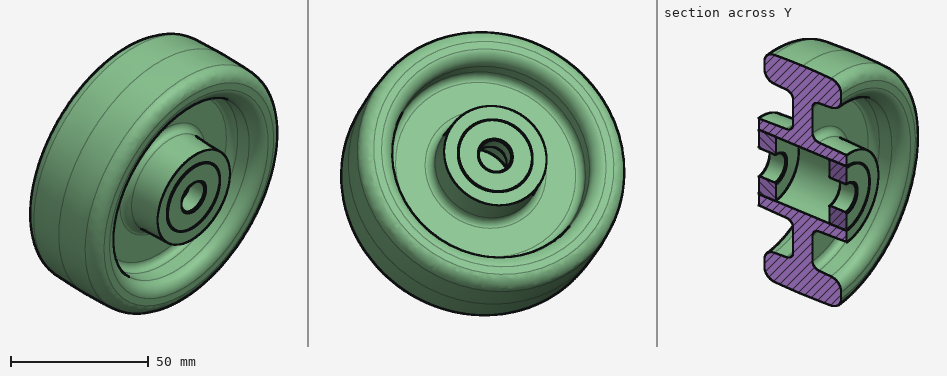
import cadquery as cq
import math

wheel_radius = 50.1
rim_half_width = 17.5
crown_drop = 0.7
rim_fillet = 5.0
rim_inner_radius = 37.1
rim_draft = 3.0

web_half_width = 4.5
web_fillet = 3.0

hub_half_width = 19.98
hub_radius = 19.08
hub_draft = 2.0

bushing_radius = 13.9
bushing_length = 8.0
bushing_bore_radius = 6.0
bushing_outer_chamfer = 0.3
bushing_bore_chamfer = 0.5

rim_root_radius = rim_inner_radius - (rim_half_width - web_half_width) * math.tan(math.radians(rim_draft))
hub_root_radius = hub_radius + (hub_half_width - web_half_width) * math.tan(math.radians(hub_draft))
tread_edge_radius = wheel_radius - crown_drop
crown_arc_radius = (rim_half_width**2 + crown_drop**2) / (2 * crown_drop)


def crown_height(x):
    """Tread radius at axial position x on the crown arc."""
    return wheel_radius - crown_arc_radius + math.sqrt(crown_arc_radius**2 - x**2)


def revolve_about_x(profile):
    return profile.close().revolve(360, (0, 0, 0), (1, 0, 0))


def circles_at(x, radius):
    """Selector box that holds the circular edge of this radius centred at x on the axis."""
    tolerance = 0.1
    reach = radius + tolerance
    return cq.selectors.BoxSelector(
        (x - tolerance, -reach, -reach), (x + tolerance, reach, reach), boundingbox=True
    ) - cq.selectors.BoxSelector(
        (x - tolerance, -radius + tolerance, -radius + tolerance),
        (x + tolerance, radius - tolerance, radius - tolerance),
        boundingbox=True,
    )


def make_wheel():
    mid_x = rim_half_width / 2
    mid_radius = crown_height(mid_x)
    profile = (
        cq.Workplane("XZ")
        .moveTo(0, wheel_radius)
        .threePointArc((mid_x, mid_radius), (rim_half_width, tread_edge_radius))
        .lineTo(rim_half_width, rim_inner_radius)
        .lineTo(web_half_width, rim_root_radius)
        .lineTo(web_half_width, hub_root_radius)
        .lineTo(hub_half_width, hub_radius)
        .lineTo(hub_half_width, bushing_radius)
        .lineTo(-hub_half_width, bushing_radius)
        .lineTo(-hub_half_width, hub_radius)
        .lineTo(-web_half_width, hub_root_radius)
        .lineTo(-web_half_width, rim_root_radius)
        .lineTo(-rim_half_width, rim_inner_radius)
        .lineTo(-rim_half_width, tread_edge_radius)
        .threePointArc((-mid_x, mid_radius), (0, wheel_radius))
    )
    wheel = revolve_about_x(profile)
    for side in (-1, 1):
        for radius in (tread_edge_radius, rim_inner_radius):
            wheel = wheel.edges(circles_at(side * rim_half_width, radius)).fillet(rim_fillet)
        for radius in (rim_root_radius, hub_root_radius):
            wheel = wheel.edges(circles_at(side * web_half_width, radius)).fillet(web_fillet)
    return wheel


def make_bushing(side):
    """Bushing flush with the hub face on the given side (-1 or 1)."""
    outer_x = side * hub_half_width
    inner_x = side * (hub_half_width - bushing_length)
    bore_mouth_radius = bushing_bore_radius + bushing_bore_chamfer
    face_radius = bushing_radius - bushing_outer_chamfer
    profile = (
        cq.Workplane("XZ")
        .moveTo(outer_x, bore_mouth_radius)
        .lineTo(outer_x, face_radius)
        .lineTo(outer_x - side * bushing_outer_chamfer, bushing_radius)
        .lineTo(inner_x + side * bushing_outer_chamfer, bushing_radius)
        .lineTo(inner_x, face_radius)
        .lineTo(inner_x, bore_mouth_radius)
        .lineTo(inner_x + side * bushing_bore_chamfer, bushing_bore_radius)
        .lineTo(outer_x - side * bushing_bore_chamfer, bushing_bore_radius)
    )
    return revolve_about_x(profile)


wheel = make_wheel()
bushings = [make_bushing(side).val() for side in (-1, 1)]

result = cq.Compound.makeCompound([wheel.val(), *bushings])